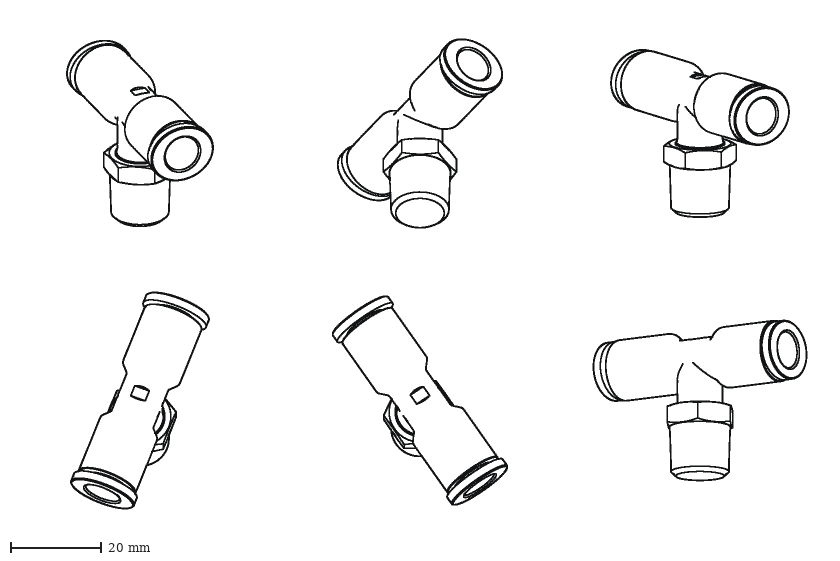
import cadquery as cq
import math


overall_length = 47.2
half_length = overall_length / 2
body_radius = 6.8
body_end = 20.7
body_chamfer = 0.15
shoulder_outer_x = 7.05
shoulder_inner_x = 5.05
shoulder_outer_fillet = 0.8
shoulder_inner_fillet = 1.05
waist_radius = 5.0

sleeve_radius = 4.8
collar_thickness = 2.05
collar_half_width = 7.5
collar_half_height = 6.5
collar_chamfer = 0.25
bore_radius = 4.0
bore_chamfer = 0.4
bore_depth = half_length - shoulder_outer_x

notch_floor_length = 2.5
notch_depth = 0.305

flare_top_z = -8.95
flare_bottom_z = -10.25
flare_radius = 5.2
hex_top_z = -10.45
foot_radius = 5.5
hex_bottom_z = -14.95
hex_across_flats = 14.0
hex_chamfer_radius = 6.85
hex_chamfer_angle = 22.0
thread_top_radius = 6.75
thread_taper = 1 / 32
branch_bottom_z = -26.0
tip_chamfer_height = 1.0
tip_radius = 5.4


def revolve_about_z(points):
    """Solid of revolution about Z from (radius, z) points."""
    return cq.Workplane("XZ").polyline(points).close().revolve(360, (0, 0, 0), (0, 1, 0))


def ring_edges(x):
    """Selector for the circular edges of the run at -x and +x."""
    reach = 0.05
    width = 2 * body_radius

    def box_around(centre):
        low = (centre - reach, -width, -width)
        high = (centre + reach, width, width)
        return cq.selectors.BoxSelector(low, high, boundingbox=True)

    return box_around(-x) + box_around(x)


def make_run():
    """Two bodies joined by a narrower waist with blended conical shoulders."""
    profile = [
        (-body_end, 0),
        (-body_end, body_radius),
        (-shoulder_outer_x, body_radius),
        (-shoulder_inner_x, waist_radius),
        (shoulder_inner_x, waist_radius),
        (shoulder_outer_x, body_radius),
        (body_end, body_radius),
        (body_end, 0),
    ]
    run = cq.Workplane("XZ").polyline(profile).close().revolve(360, (0, 0, 0), (1, 0, 0))
    run = run.faces("<X or >X").edges().chamfer(body_chamfer)

    run = run.edges(ring_edges(shoulder_outer_x)).fillet(shoulder_outer_fillet)
    return run.edges(ring_edges(shoulder_inner_x)).fillet(shoulder_inner_fillet)


def make_collar():
    """Release sleeve and oval collar at the +X end."""
    collar_start = half_length - collar_thickness
    sleeve = (
        cq.Workplane("YZ", origin=(body_end, 0, 0))
        .circle(sleeve_radius)
        .extrude(collar_start - body_end)
    )
    collar = (
        cq.Workplane("YZ", origin=(collar_start, 0, 0))
        .ellipse(collar_half_width, collar_half_height)
        .extrude(collar_thickness)
        .faces(">X")
        .edges()
        .chamfer(collar_chamfer)
    )
    return sleeve.union(collar)


def make_bore():
    """Blind tube bore with a chamfered mouth, open at the +X end."""
    bore_floor_x = half_length - bore_depth
    profile = [
        (bore_floor_x, 0),
        (bore_floor_x, bore_radius),
        (half_length - bore_chamfer, bore_radius),
        (half_length, bore_radius + bore_chamfer),
        (half_length, 0),
    ]
    return cq.Workplane("XZ").polyline(profile).close().revolve(360, (0, 0, 0), (1, 0, 0))


def make_stem():
    """Round stem flaring out towards the hexagon."""
    return revolve_about_z([
        (0, 0),
        (waist_radius, 0),
        (waist_radius, flare_top_z),
        (flare_radius, flare_bottom_z),
        (foot_radius, hex_top_z),
        (0, hex_top_z),
    ])


def make_hexagon():
    """Wrench hexagon, corners on X, with conical chamfers at both ends."""
    across_corners = hex_across_flats / math.cos(math.pi / 6)
    corner_radius = across_corners / 2
    corner_drop = (corner_radius - hex_chamfer_radius) * math.tan(math.radians(hex_chamfer_angle))
    prism = (
        cq.Workplane("XY", origin=(0, 0, hex_bottom_z))
        .polygon(6, across_corners)
        .extrude(hex_top_z - hex_bottom_z)
    )
    envelope = revolve_about_z([
        (0, hex_top_z),
        (hex_chamfer_radius, hex_top_z),
        (corner_radius, hex_top_z - corner_drop),
        (corner_radius, hex_bottom_z + corner_drop),
        (hex_chamfer_radius, hex_bottom_z),
        (0, hex_bottom_z),
    ])
    return prism.intersect(envelope)


def make_thread():
    """Plain tapered thread body with a chamfered tip."""
    taper_end_z = branch_bottom_z + tip_chamfer_height
    taper_end_radius = thread_top_radius - (hex_bottom_z - taper_end_z) * thread_taper
    return revolve_about_z([
        (0, hex_bottom_z),
        (thread_top_radius, hex_bottom_z),
        (taper_end_radius, taper_end_z),
        (tip_radius, branch_bottom_z),
        (0, branch_bottom_z),
    ])


def make_notch():
    """Shallow flat with 45 degree ends, cut across the top of the waist."""
    floor_z = waist_radius - notch_depth
    half_floor = notch_floor_length / 2
    half_top = half_floor + notch_depth
    profile = [
        (-half_floor, floor_z),
        (half_floor, floor_z),
        (half_top, waist_radius),
        (-half_top, waist_radius),
    ]
    return cq.Workplane("XZ").polyline(profile).close().extrude(waist_radius, both=True)


result = make_run().union(make_stem()).union(make_hexagon()).union(make_thread())
result = result.cut(make_notch())
collar = make_collar()
bore = make_bore()
result = result.union(collar).union(collar.mirror("YZ"))
result = result.cut(bore).cut(bore.mirror("YZ"))